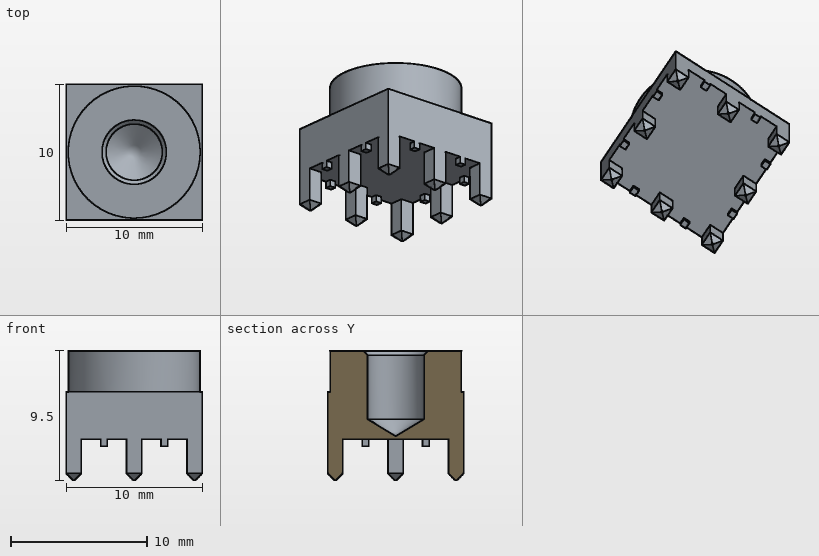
import cadquery as cq
import math

block_side = 10.0
block_height = 3.5

collar_diameter = 9.7
collar_height = 3.0
top_z = block_height + collar_height

hole_diameter = 4.13
hole_depth = 5.0
drill_point_angle = 118.0
mouth_chamfer = 0.3

pin_side = 1.13
pin_straight_length = 2.5
pin_tip_length = 0.5
pin_tip_side = pin_side - 2 * pin_tip_length
pin_pitch = (block_side - pin_side) / 2

nub_side = 0.5
nub_height = 0.5
nub_offset = pin_pitch / 2
nub_edge_offset = (block_side - nub_side) / 2


def make_body():
    block = cq.Workplane("XY").rect(block_side, block_side).extrude(block_height)
    return block.faces(">Z").workplane().circle(collar_diameter / 2).extrude(collar_height)


def make_hole():
    """Solid of revolution about Z that removes the hole, its cone and its countersink."""
    radius = hole_diameter / 2
    cone_height = radius / math.tan(math.radians(drill_point_angle / 2))
    cone_base_z = top_z - hole_depth
    profile = (
        cq.Workplane("XZ")
        .moveTo(0, cone_base_z - cone_height)
        .lineTo(radius, cone_base_z)
        .lineTo(radius, top_z - mouth_chamfer)
        .lineTo(radius + mouth_chamfer, top_z)
        .lineTo(0, top_z)
        .close()
    )
    return profile.revolve(360, (0, 0, 0), (0, 1, 0))


def make_pins():
    positions = []
    for column in (-1, 0, 1):
        for row in (-1, 0, 1):
            if (column, row) != (0, 0):
                positions.append((column * pin_pitch, row * pin_pitch))
    shafts = (
        cq.Workplane("XY")
        .pushPoints(positions)
        .rect(pin_side, pin_side)
        .extrude(-pin_straight_length)
    )
    tip = (
        cq.Workplane("XY")
        .workplane(offset=-pin_straight_length)
        .rect(pin_side, pin_side)
        .workplane(offset=-pin_tip_length)
        .rect(pin_tip_side, pin_tip_side)
        .loft(ruled=True)
    )
    pins = shafts
    for x, y in positions:
        pins = pins.union(tip.translate((x, y, 0)))
    return pins


def make_nubs():
    positions = []
    for along in (-nub_offset, nub_offset):
        for edge in (-nub_edge_offset, nub_edge_offset):
            positions.append((along, edge))
            positions.append((edge, along))
    return (
        cq.Workplane("XY")
        .pushPoints(positions)
        .rect(nub_side, nub_side)
        .extrude(-nub_height)
    )


result = make_body().cut(make_hole()).union(make_pins()).union(make_nubs()).clean()